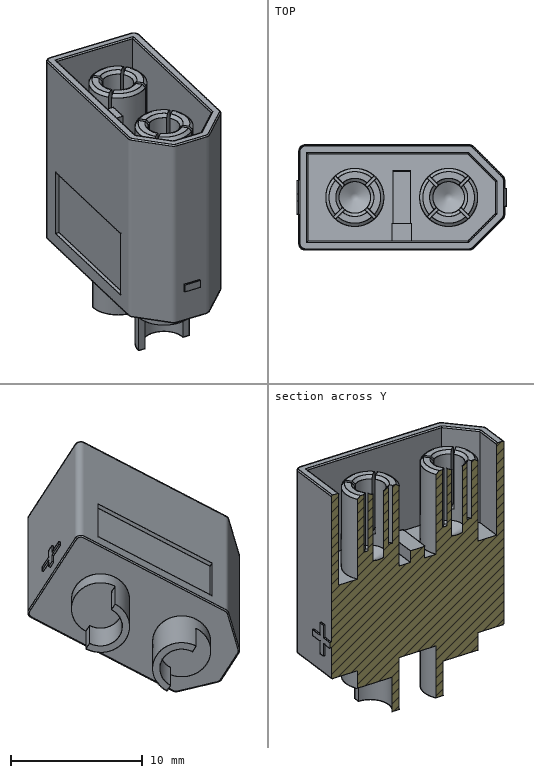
import cadquery as cq
import math

BODY_LENGTH = 15.62
BODY_WIDTH = 8.0
BODY_HEIGHT = 16.0
NOSE_CUT = 2.5
CORNER_RADIUS = 0.5
EDGE_CHAMFER = 0.1

WALL = 0.7
CAVITY_DEPTH = 8.0
CAVITY_FLOOR = BODY_HEIGHT - CAVITY_DEPTH

PIN_SPACING = 7.11
PIN_DIAMETER = 4.4
PIN_RECESS = 0.82
PIN_TOP = BODY_HEIGHT - PIN_RECESS
PIN_CHAMFER = 0.25
BORE_DIAMETER = 2.4
BORE_DEPTH = 6.0
DRILL_POINT_ANGLE = 118
SLIT_WIDTH = 0.25
SLIT_DEPTH = 5.0
SOLDER_END = 4.5
CUP_DIAMETER = 3.3
CUP_LENGTH = 3.0

POST_WIDTH = 1.48
POST_DEPTH = 1.31
POST_RECESS = 1.1
RIB_WIDTH = 1.33
RIB_END_Y = 2.05
RIB_HEIGHT = 1.0
RIB_CHAMFER = 0.08

LABEL_LENGTH = 10.0
LABEL_HEIGHT = 5.5
LABEL_DEPTH = 0.3
LABEL_BOTTOM = 1.25
LABEL_FROM_END = 1.72

MARK_RELIEF = 0.15
MARK_Z = 3.0
PLUS_WIDTH = 2.58
PLUS_HEIGHT = 2.69
PLUS_STROKE = 0.51
MINUS_WIDTH = 1.35
MINUS_HEIGHT = 0.62


def nosed_outline(inset):
    """Closed plan outline of the housing, moved inwards by the inset on every side."""
    end = BODY_LENGTH / 2 - inset
    side = BODY_WIDTH / 2 - inset
    diagonal = BODY_LENGTH / 2 + BODY_WIDTH / 2 - NOSE_CUT - inset * math.sqrt(2)
    shoulder = diagonal - side
    tip = diagonal - end
    points = [
        (-end, -side),
        (shoulder, -side),
        (end, -tip),
        (end, tip),
        (shoulder, side),
        (-end, side),
    ]
    return cq.Workplane("XY").polyline(points).close()


def block(x_range, y_range, z_range):
    """Box between the given limits on each axis."""
    limits = (x_range, y_range, z_range)
    sizes = [high - low for low, high in limits]
    corner = tuple(low for low, high in limits)
    return cq.Workplane("XY").box(*sizes, centered=False).translate(corner)


def make_housing():
    shell = nosed_outline(0).extrude(BODY_HEIGHT)
    shell = shell.edges("|Z").fillet(CORNER_RADIUS)
    cavity = nosed_outline(WALL).extrude(CAVITY_DEPTH)
    shell = shell.cut(cavity.translate((0, 0, CAVITY_FLOOR)))
    return shell.faces("<Z or >Z").edges().chamfer(EDGE_CHAMFER)


def make_label_recess():
    left = -BODY_LENGTH / 2 + LABEL_FROM_END
    front = -BODY_WIDTH / 2
    return block(
        (left, left + LABEL_LENGTH),
        (front, front + LABEL_DEPTH),
        (LABEL_BOTTOM, LABEL_BOTTOM + LABEL_HEIGHT),
    )


def make_key():
    wall = -BODY_WIDTH / 2 + WALL
    post = block(
        (-POST_WIDTH / 2, POST_WIDTH / 2),
        (wall, wall + POST_DEPTH),
        (CAVITY_FLOOR, BODY_HEIGHT - POST_RECESS),
    )
    rib = block(
        (-RIB_WIDTH / 2, RIB_WIDTH / 2),
        (wall, RIB_END_Y),
        (CAVITY_FLOOR, CAVITY_FLOOR + RIB_HEIGHT),
    )
    rib = rib.edges(">Y and >Z").chamfer(RIB_CHAMFER)
    return post.union(rib)


def make_pin():
    """Pin on the Z axis: slit socket above, solder cup below with its -X half cut away."""
    radius = PIN_DIAMETER / 2
    pin = cq.Workplane("XY").workplane(offset=-SOLDER_END).circle(radius).extrude(SOLDER_END + PIN_TOP)
    pin = pin.faces(">Z").chamfer(PIN_CHAMFER)

    bore_radius = BORE_DIAMETER / 2
    bore_bottom = PIN_TOP - BORE_DEPTH
    drill_point = bore_radius / math.tan(math.radians(DRILL_POINT_ANGLE / 2))
    bore_profile = [
        (0, bore_bottom - drill_point),
        (bore_radius, bore_bottom),
        (bore_radius, PIN_TOP - PIN_CHAMFER),
        (bore_radius + PIN_CHAMFER, PIN_TOP),
        (0, PIN_TOP),
    ]
    bore = cq.Workplane("XZ").polyline(bore_profile).close().revolve(360, (0, 0), (0, 1))
    pin = pin.cut(bore)

    slit_range = (-SLIT_WIDTH / 2, SLIT_WIDTH / 2)
    slit = block((-PIN_DIAMETER, PIN_DIAMETER), slit_range, (PIN_TOP - SLIT_DEPTH, PIN_TOP))
    for angle in (45, 135):
        pin = pin.cut(slit.rotate((0, 0, 0), (0, 0, 1), angle))

    cup = cq.Workplane("XY").circle(CUP_DIAMETER / 2).extrude(CUP_LENGTH)
    open_half = block((-PIN_DIAMETER, 0), (-PIN_DIAMETER, PIN_DIAMETER), (0, CUP_LENGTH))
    return pin.cut(cup.union(open_half).translate((0, 0, -SOLDER_END)))


def make_mark_bar(side, width, height):
    """Raised bar centred on the end face at side = -1 or +1, rooted in the end wall."""
    face = BODY_LENGTH / 2
    x_range = sorted((side * (face - WALL / 2), side * (face + MARK_RELIEF)))
    return block(x_range, (-width / 2, width / 2), (MARK_Z - height / 2, MARK_Z + height / 2))


result = make_housing().cut(make_label_recess()).union(make_key())

left_pin = make_pin()
right_pin = left_pin.mirror("YZ")
result = result.union(left_pin.translate((-PIN_SPACING / 2, 0, 0)))
result = result.union(right_pin.translate((PIN_SPACING / 2, 0, 0)))

result = result.union(make_mark_bar(-1, PLUS_WIDTH, PLUS_STROKE))
result = result.union(make_mark_bar(-1, PLUS_STROKE, PLUS_HEIGHT))
result = result.union(make_mark_bar(1, MINUS_WIDTH, MINUS_HEIGHT))